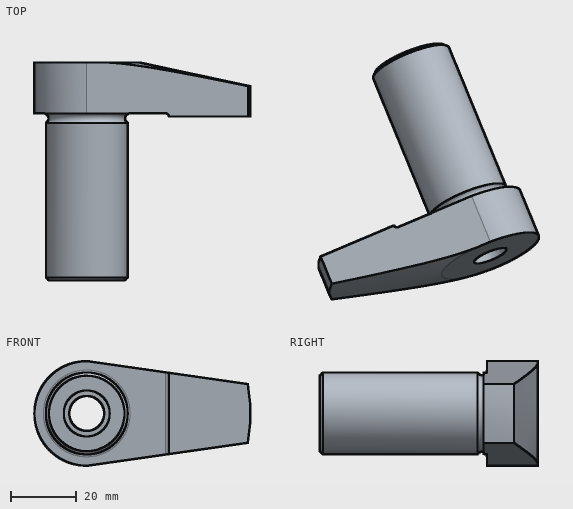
import cadquery as cq
import math

total_length = 66.5
lever_length = 65.9
head_diameter = 32.0
head_radius = head_diameter / 2
head_thickness = 15.55
tip_radius = lever_length - head_radius
tip_half_width = 9.0

pad_start = 24.0
pad_height = 1.0

cone_start_radius = head_radius
cone_drop = 7.25

shaft_radius = 12.5
shaft_length = total_length - head_thickness
shaft_chamfer = 1.0
groove_radius = 1.5
groove_floor_radius = 11.7

bore_diameter = 10.6
counterbore_diameter = 14.0
counterbore_depth = shaft_length


def lever_outline():
    """Half-round head with straight sides converging to a tip arc centred on the shaft axis."""
    tip_x = math.sqrt(tip_radius**2 - tip_half_width**2)
    return (
        cq.Workplane("XZ")
        .moveTo(0, head_radius)
        .threePointArc((-head_radius, 0), (0, -head_radius))
        .lineTo(tip_x, -tip_half_width)
        .threePointArc((tip_radius, 0), (tip_x, tip_half_width))
        .close()
    )


def lever():
    """Lever with a raised pad on the shaft side and a conical back."""
    blank = lever_outline().extrude(head_thickness + pad_height)
    blank = blank.translate((0, head_thickness, 0))
    side_profile = (
        cq.Workplane("XY")
        .moveTo(-head_radius, 0)
        .lineTo(pad_start, 0)
        .radiusArc((pad_start + pad_height, -pad_height), pad_height)
        .lineTo(tip_radius, -pad_height)
        .lineTo(tip_radius, head_thickness)
        .lineTo(-head_radius, head_thickness)
        .close()
        .extrude(head_radius, both=True)
    )
    cone_envelope = (
        cq.Workplane("XY")
        .moveTo(0, -pad_height)
        .lineTo(tip_radius, -pad_height)
        .lineTo(tip_radius, head_thickness - cone_drop)
        .lineTo(cone_start_radius, head_thickness)
        .lineTo(0, head_thickness)
        .close()
        .revolve(360, (0, 0, 0), (0, 1, 0))
    )
    return blank.intersect(side_profile).intersect(cone_envelope)


def shaft():
    """Chamfered shaft with a round neck groove that meets the head face tangentially."""
    groove_centre_radius = groove_floor_radius + groove_radius
    groove_half_width = math.sqrt(groove_radius**2 - (groove_centre_radius - shaft_radius) ** 2)
    groove_end = -groove_radius - groove_half_width
    return (
        cq.Workplane("XY")
        .lineTo(groove_centre_radius, 0)
        .threePointArc((groove_floor_radius, -groove_radius), (shaft_radius, groove_end))
        .lineTo(shaft_radius, shaft_chamfer - shaft_length)
        .lineTo(shaft_radius - shaft_chamfer, -shaft_length)
        .lineTo(0, -shaft_length)
        .close()
        .revolve(360, (0, 0, 0), (0, 1, 0))
    )


def stepped_bore():
    """Through bore, widened from the free end of the shaft."""
    free_end = cq.Workplane("XZ", origin=(0, -shaft_length, 0))
    bore = free_end.circle(bore_diameter / 2).extrude(-total_length)
    counterbore = free_end.circle(counterbore_diameter / 2).extrude(-counterbore_depth)
    return bore.union(counterbore)


result = lever().union(shaft()).cut(stepped_bore())